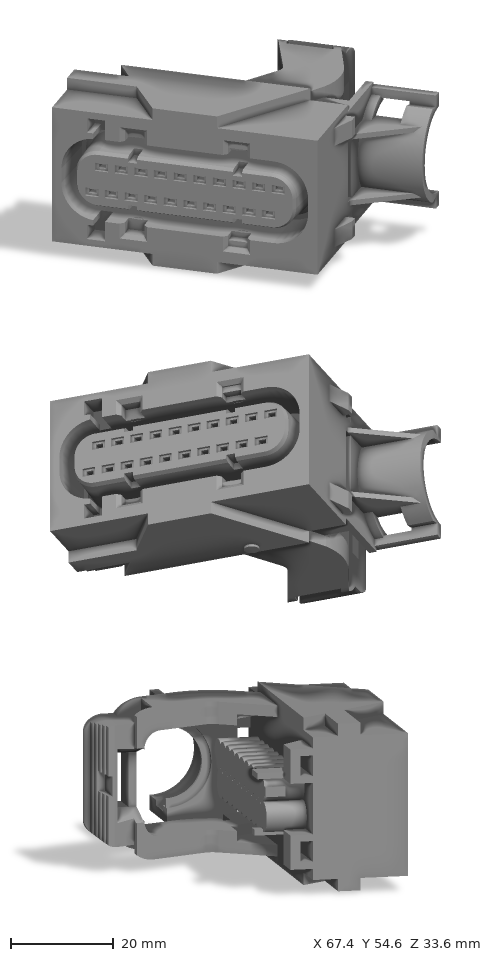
import cadquery as cq
import math


body_length = 54.25
body_depth = 19.0
core_half_height = 14.1
rail_half_height = 16.55
rail_front_left = 20.54
rail_front_right = 33.7
rail_back_left = 7.86
rail_back_right = 46.55
rail_step_y = 9.48
rail_step_x = 14.2
rail_notch_y = 13.95
rail_notch_x = 11.16
pin_diameter = 3.0
pin_x = 35.4
pin_y = 16.8
pin_end_z = -17.03

face_x = body_length / 2
channel_length = 50.4
channel_height = 17.2
channel_radius = 7.1
channel_depth = 12.0
channel_draft = 0.25
island_length = 44.0
island_height = 10.6
island_radius = 4.2
island_edge = 0.45
island_edge_depth = 0.9
island_draft = 0.45
island_foot = 1.2
key_notch_x = (16.4, 37.85)
key_notch_width = 1.85
key_notch_bottom_z = 4.5
key_notch_depth = 4.0
pocket_x = (16.6, 37.7)
pocket_width = 5.6
pocket_top_z = 11.7
pocket_bevel = 0.8
pocket_depth = 3.2
pocket_overlap = 1.0
pocket_ledge_x = pocket_x[1]
pocket_ledge_z = 9.7
pocket_ledge_depth = 1.2
ell_depth = 5.0
ell_left = 7.1
ell_right = 10.85
ell_neck_left = 8.4
ell_top_z = 12.7
ell_shoulder_z = 9.7

terminals_per_row = 10
terminal_pitch = 4.01
row_z = 2.74
upper_row_x = 10.1
lower_row_x = 8.1
slot_width = 2.7
slot_height = 1.7
slot_inner_width = 1.55
slot_inner_height = 0.9
slot_recess = 0.6
slot_depth = 4.0
chamber_radius = 3.0
chamber_end_y = 27.0
polarizer_bottom_z = 1.5
polarizer_top_z = 3.4
polarizer_left = 6.0
polarizer_right = 8.5
polarizer_start_y = 23.0

block_end_y = 23.5
block_left_x = 5.6
block_right_x = 9.28
block_inner_z = 5.1
block_outer_z = 11.9
block_window_inner_z = 6.4
block_window_outer_z = 10.5
block_window_y = 21.5
rib_right_x = 10.2
rib_end_y = 28.75
rib_inner_z = 5.2
rib_outer_z = 6.4

lever_half_width = 14.9
lever_inner_half = 10.45
lever_end_y = 48.4
lever_round_start_y = 43.1
lever_relief_z = 12.65
lever_relief_y = 26.0
lever_window_y = 45.2
lever_window_radius = 3.4
handle_half_width = 12.05
handle_end_y = 54.63
handle_left = 31.5
handle_right = 44.27
handle_round_start_y = 50.5
handle_end_half = 8.9
hook_x = 30.7
hook_y = 46.86
lever_root_y = body_depth - 1.0
lever_root_left = (29.04, lever_root_y)
lever_root_right = (43.58, lever_root_y)
lever_inner_bend = ((36.4, 29.2), (37.0, 30.9), (36.75, 32.0))
lever_outer_bend = ((48.1, 35.4), (49.0, 30.5), (47.7, 24.8))
lever_neck_left = (33.3, hook_y)
lever_neck_right = (handle_right, 45.1)
lever_top_left_x = 32.65
handle_corner = (handle_left, 51.1)
side_recess_y = 43.0
side_recess_outline = [
    (32.5, lever_end_y),
    (33.8, side_recess_y),
    (43.5, side_recess_y),
    (41.4, lever_end_y),
]
tread_count = 5
tread_length = 2.16
tread_rise = 0.29
tread_first_y = 52.3
bead_left = handle_left + tread_count * tread_length
handle_hole_y = 50.1
handle_hole_half = 5.4
handle_recess_half = 7.4
handle_recess_y = 50.5
handle_recess_end_x = 38.0
handle_groove_half = 2.0
handle_groove_y = 51.5
handle_groove_right = 37.9

overall_length = 67.39
outlet_y = 35.7
outlet_plate_x = 52.7
outlet_plate_half = 12.65
outlet_plate_y = 34.9
outlet_plate_start_y = 21.6
opening_radius = 7.2
trough_inner_radius = 8.9
trough_outer_radius = 10.6
bar_inner_z = 10.0
bar_outer_z = 11.9
bar_start_y = 33.85
window_left = 56.1
window_right = 62.0
bevel_end_y = 31.8
bevel_start_z = 9.4
bevel_end_z = 9.85
gusset_outer_z = 7.45
gusset_inner_z = 6.4
gusset_start_y = 20.0
gusset_tip_x = 66.3
gusset_tip_y = outlet_y - math.sqrt(trough_outer_radius**2 - gusset_outer_z**2)
plate_foot_inner_z = 6.4
plate_foot_outer_z = 9.2
arm_inner_z = 10.5
arm_root_x = 44.0
arm_peak_left = 40.0
arm_peak_right = 46.0
arm_shoulder_x = 46.5
arm_end_y = 24.5
arm_window_x = 48.8
latch_outer_z = 12.5
latch_inner_z = 8.8
latch_x = 56.2
latch_bottom_y = 10.6
latch_shoulder_y = 15.6
latch_top_y = 17.4


def box(x0, x1, y0, y1, z0, z1):
    """Block between two opposite corners."""
    return cq.Workplane("XY").box(x1 - x0, y1 - y0, z1 - z0, centered=False).translate((x0, y0, z0))


def prism(points, z0, z1):
    """Polygon in the XY plane extruded from z0 to z1."""
    return cq.Workplane("XY").workplane(offset=z0).polyline(points).close().extrude(z1 - z0)


def mirrored(shape):
    """The shape together with its mirror image across Z = 0."""
    return shape.union(shape.mirror("XY"))


def inward_plane(x, y, z):
    """Workplane parallel to the mating face whose extrusions run inward (+Y)."""
    return cq.Workplane(cq.Plane(origin=(x, y, z), xDir=(-1, 0, 0), normal=(0, 1, 0)))


def drafted_bar(y, depth, length, height, radius, growth):
    """Rounded rectangle centred on the mating face that grows by `growth` per side as it runs inward."""
    front = cq.Sketch().rect(length, height).vertices().fillet(radius)
    back = cq.Sketch().rect(length + 2 * growth, height + 2 * growth).vertices().fillet(radius + growth)
    back = back.moved(cq.Location(cq.Vector(0, 0, depth)))
    return inward_plane(face_x, y, 0).placeSketch(front, back).loft()


def make_housing():
    core = box(0, body_length, 0, body_depth, -core_half_height, core_half_height)
    rail_outline = [
        (rail_front_left, 0),
        (rail_front_right, 0),
        (rail_back_right, body_depth),
        (rail_back_left, body_depth),
        (rail_notch_x, rail_notch_y),
        (0, rail_notch_y),
        (0, rail_step_y),
        (rail_step_x, rail_step_y),
    ]
    rails = prism(rail_outline, -rail_half_height, rail_half_height)
    pin = (
        cq.Workplane("XY")
        .center(pin_x, pin_y)
        .circle(pin_diameter / 2)
        .extrude(pin_end_z)
    )
    return core.union(rails).union(pin)


def make_island():
    """Terminal carrier in the channel: bevelled front edge, drafted sides and a 45 degree foot."""
    shank_depth = channel_depth - island_edge_depth - island_foot
    sections = (
        (island_edge_depth, island_edge),
        (shank_depth, island_draft),
        (island_foot, island_foot),
    )
    island = cq.Workplane("XY")
    y = 0
    offset = 0
    for depth, growth in sections:
        length = island_length + 2 * offset
        height = island_height + 2 * offset
        island = island.union(drafted_bar(y, depth, length, height, island_radius + offset, growth))
        y += depth
        offset += growth
    return island


def make_channel():
    channel = drafted_bar(
        0, channel_depth, channel_length, channel_height, channel_radius, -channel_draft
    )
    return channel.cut(make_island())


def make_face_pockets():
    """Bevelled pockets and L-shaped slots that open into the channel, above and below it."""
    wall_z = channel_height / 2 - pocket_overlap
    cutters = cq.Workplane("XY")
    for x in pocket_x:
        mouth = inward_plane(x, 0, 0).rect(pocket_width, 2 * pocket_top_z)
        inner_width = pocket_width - 2 * pocket_bevel
        inner_height = 2 * (pocket_top_z - pocket_bevel)
        bevel = mouth.workplane(offset=pocket_bevel).rect(inner_width, inner_height).loft()
        pocket = inward_plane(x, 0, 0).rect(inner_width, inner_height).extrude(pocket_depth)
        cutters = cutters.union(bevel).union(pocket)
    half = pocket_width / 2
    ledge = box(
        pocket_ledge_x - half, pocket_ledge_x + half,
        pocket_ledge_depth, pocket_depth,
        pocket_ledge_z, pocket_top_z,
    )
    cutters = cutters.cut(mirrored(ledge))
    cutters = cutters.cut(box(0, body_length, 0, body_depth, -wall_z, wall_z))
    head = box(ell_left, ell_right, 0, ell_depth, ell_shoulder_z, ell_top_z)
    neck = box(ell_neck_left, ell_right, 0, ell_depth, wall_z, ell_shoulder_z)
    return cutters.union(mirrored(head.union(neck)))


def make_key_notches():
    notches = cq.Workplane("XY")
    for x in key_notch_x:
        notch = box(
            x - key_notch_width / 2, x + key_notch_width / 2,
            0, key_notch_depth,
            key_notch_bottom_z, channel_height / 2,
        )
        notches = notches.union(mirrored(notch))
    return notches


def terminal_points():
    """(-x, z) of every terminal in the two staggered rows, in the axes of an inward plane at X = 0."""
    rows = ((upper_row_x, row_z), (lower_row_x, -row_z))
    return [(-x - i * terminal_pitch, z) for x, z in rows for i in range(terminals_per_row)]


def make_terminal_slots():
    mouth = inward_plane(0, 0, 0).pushPoints(terminal_points())
    funnels = mouth.rect(slot_width, slot_height).extrude(slot_recess)
    mouth = inward_plane(0, 0, 0).pushPoints(terminal_points())
    slots = mouth.rect(slot_inner_width, slot_inner_height).extrude(slot_depth)
    return funnels.union(slots)


def make_wire_chambers():
    """Overlapping round sleeves behind the housing, one per terminal, and a side key."""
    length = chamber_end_y - body_depth
    sleeves = cq.Workplane("XY")
    for point in terminal_points():
        sleeve = inward_plane(0, body_depth, 0).center(*point).circle(chamber_radius).extrude(length)
        sleeves = sleeves.union(sleeve)
    side_key = box(
        polarizer_left, polarizer_right,
        polarizer_start_y, chamber_end_y,
        polarizer_bottom_z, polarizer_top_z,
    )
    return sleeves.union(side_key)


def make_rear_blocks():
    """Windowed blocks at the left end, each with a flat rib on its inner side."""
    outline = [
        (0, body_depth),
        (block_right_x, body_depth),
        (block_left_x, block_end_y),
        (0, block_end_y),
    ]
    block = prism(outline, block_inner_z, block_outer_z)
    window = box(
        0, block_right_x, body_depth, block_window_y, block_window_inner_z, block_window_outer_z
    )
    upper_rib = box(block_left_x, rib_right_x, body_depth, rib_end_y, rib_inner_z, rib_outer_z)
    lower_rib = box(lower_row_x, rib_right_x, body_depth, rib_end_y, -rib_outer_z, -rib_inner_z)
    return mirrored(block.cut(window)).union(upper_rib).union(lower_rib)


def rounded_envelope(half_width, round_start_y, end_y, end_half_width):
    """Slab along X whose sides curve inward from round_start_y to end_half_width at end_y."""
    run = end_y - round_start_y
    drop = half_width - end_half_width
    radius = (run**2 + drop**2) / (2 * drop)
    half_angle = math.asin(run / radius) / 2
    mid_y = round_start_y + radius * math.sin(half_angle)
    mid_z = half_width - radius * (1 - math.cos(half_angle))
    return (
        cq.Workplane("YZ")
        .moveTo(0, -half_width)
        .lineTo(round_start_y, -half_width)
        .threePointArc((mid_y, -mid_z), (end_y, -end_half_width))
        .lineTo(end_y, end_half_width)
        .threePointArc((mid_y, mid_z), (round_start_y, half_width))
        .lineTo(0, half_width)
        .close()
        .extrude(overall_length)
    )


def make_lever_arms():
    """Bent fork that rises from the housing and carries the handle."""
    outline = (
        cq.Workplane("XY")
        .workplane(offset=-lever_half_width)
        .moveTo(*lever_root_left)
        .lineTo(*lever_inner_bend[0])
        .threePointArc(*lever_inner_bend[1:])
        .lineTo(hook_x, hook_y)
        .lineTo(*lever_neck_left)
        .lineTo(lever_top_left_x, lever_end_y)
        .lineTo(handle_right, lever_end_y)
        .lineTo(*lever_neck_right)
        .lineTo(*lever_outer_bend[0])
        .threePointArc(*lever_outer_bend[1:])
        .lineTo(*lever_root_right)
        .close()
        .extrude(2 * lever_half_width)
    )
    envelope = rounded_envelope(lever_half_width, lever_round_start_y, lever_end_y, handle_half_width)
    side_recess = prism(side_recess_outline, handle_half_width, lever_half_width)
    fork_gap = box(
        0, overall_length, 0, lever_window_y, -lever_inner_half, lever_inner_half
    ).edges("|X and >Y").fillet(lever_window_radius)
    relief = box(0, overall_length, 0, lever_relief_y, -lever_relief_z, lever_relief_z)
    return outline.intersect(envelope).cut(mirrored(side_recess)).cut(fork_gap).cut(relief)


def make_handle():
    """Thumb grip with a stepped end that finishes in a round bead."""
    grip = (
        cq.Workplane("XY")
        .workplane(offset=-handle_half_width)
        .moveTo(*lever_neck_left)
        .lineTo(*handle_corner)
    )
    for i in range(tread_count):
        tread_y = tread_first_y + i * tread_rise
        grip = grip.lineTo(handle_left + i * tread_length, tread_y)
        grip = grip.lineTo(handle_left + (i + 1) * tread_length, tread_y)
    bead_radius = (handle_right - bead_left) / 2
    bead_y = handle_end_y - bead_radius
    grip = (
        grip.lineTo(bead_left, bead_y)
        .threePointArc((bead_left + bead_radius, handle_end_y), (handle_right, bead_y))
        .lineTo(handle_right, hook_y)
        .close()
        .extrude(2 * handle_half_width)
    )
    envelope = rounded_envelope(handle_half_width, handle_round_start_y, handle_end_y, handle_end_half)
    return grip.intersect(envelope)


def make_lever():
    lever = make_lever_arms().union(make_handle())
    hole = box(0, overall_length, hook_y, handle_hole_y, -handle_hole_half, handle_hole_half)
    recess = (
        cq.Workplane("XZ", origin=(0, handle_recess_y, 0))
        .polyline([
            (hook_x, -handle_recess_half),
            (handle_left, -handle_recess_half),
            (handle_recess_end_x, -handle_hole_half),
            (handle_recess_end_x, handle_hole_half),
            (handle_left, handle_recess_half),
            (hook_x, handle_recess_half),
        ])
        .close()
        .extrude(handle_recess_y - lever_window_y)
    )
    groove = box(
        0, handle_groove_right, handle_groove_y, handle_end_y, -handle_groove_half, handle_groove_half
    )
    return lever.cut(hole).cut(recess).cut(groove)


def outlet_cylinder(x0, x1, radius):
    """Cylinder on the cable axis."""
    return cq.Workplane("YZ", origin=(x0, outlet_y, 0)).circle(radius).extrude(x1 - x0)


def make_outlet_plate():
    """Upright plate with a stepped half-round opening, held by two arms behind the housing."""
    half = outlet_plate_half
    plate = box(outlet_plate_x, body_length, outlet_plate_start_y, outlet_plate_y, -half, half)
    cap = box(outlet_plate_x, body_length, outlet_plate_start_y, outlet_y, -bar_outer_z, bar_outer_z)
    leg = box(outlet_plate_x, body_length, body_depth, outlet_plate_start_y, arm_inner_z, half)
    foot = box(
        outlet_plate_x, body_length,
        body_depth, outlet_plate_start_y,
        plate_foot_inner_z, plate_foot_outer_z,
    )
    arm_outline = [
        (arm_root_x, body_depth),
        (arm_peak_left, lever_relief_y),
        (arm_peak_right, lever_relief_y),
        (arm_shoulder_x, arm_end_y),
        (outlet_plate_x, arm_end_y),
        (outlet_plate_x, outlet_plate_start_y),
        (arm_window_x, outlet_plate_start_y),
        (arm_window_x, body_depth),
    ]
    arm = prism(arm_outline, arm_inner_z, half)
    lip_x = (outlet_plate_x + body_length) / 2
    opening = outlet_cylinder(outlet_plate_x, body_length, opening_radius)
    opening = opening.union(outlet_cylinder(outlet_plate_x, lip_x, trough_inner_radius))
    return plate.union(cap).union(mirrored(leg.union(foot).union(arm))).cut(opening)


def make_trough():
    """Half-round cable trough with side windows, edge bars and gussets."""
    trough = outlet_cylinder(body_length, overall_length, trough_outer_radius)
    gusset_outline = [
        (body_length, gusset_start_y),
        (gusset_tip_x, gusset_tip_y),
        (gusset_tip_x, outlet_y),
        (body_length, outlet_y),
    ]
    gusset = prism(gusset_outline, gusset_inner_z, gusset_outer_z)
    window = box(window_left, window_right, 0, outlet_y, gusset_outer_z, trough_outer_radius)
    trough = trough.cut(mirrored(window)).union(mirrored(gusset))
    trough = trough.cut(outlet_cylinder(body_length, overall_length, trough_inner_radius))
    bevel = (
        cq.Workplane("YZ", origin=(window_right, 0, 0))
        .polyline([
            (bar_start_y, bevel_start_z),
            (bevel_end_y, bevel_end_z),
            (bevel_end_y, trough_outer_radius),
            (bar_start_y, trough_outer_radius),
        ])
        .close()
        .extrude(overall_length - window_right)
    )
    trough = trough.cut(mirrored(bevel))
    upper_half = box(0, overall_length, outlet_y, 2 * outlet_y, -2 * outlet_y, 2 * outlet_y)
    bar = box(body_length, overall_length, bar_start_y, outlet_y, bar_inner_z, bar_outer_z)
    return trough.cut(upper_half).union(mirrored(bar))


def make_latches():
    """Ramped latch lugs on the right end of the housing."""
    outline = [
        (body_length, latch_bottom_y),
        (latch_x, latch_shoulder_y),
        (latch_x, latch_top_y),
        (body_length, latch_top_y),
    ]
    return mirrored(prism(outline, latch_inner_z, latch_outer_z))


housing = make_housing().cut(make_channel()).cut(make_face_pockets())
housing = housing.cut(make_key_notches()).cut(make_terminal_slots())
result = (
    housing.union(make_wire_chambers())
    .union(make_rear_blocks())
    .union(make_lever())
    .union(make_outlet_plate())
    .union(make_trough())
    .union(make_latches())
)